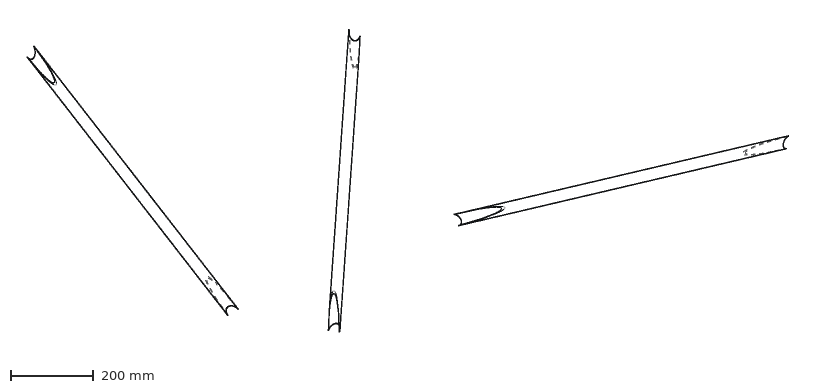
import cadquery as cq

tube_radius = 15.0
wall = 1.0
axis_direction = (100, 27.4, -26.7)
opening_lean = -0.5

left_lip = 416.0
right_lip = 424.0
mouth_tip = 303.0
left_skew = 18
right_skew = 10
left_roll = -18
right_roll = 3
cutter_size = 79

axis = cq.Vector(*axis_direction).normalized()
lean = cq.Vector(0, opening_lean, 1)
mouth_normal = lean - axis * lean.dot(axis)
tube_plane = cq.Plane(origin=(0, 0, 0), xDir=axis, normal=mouth_normal)


def prism(points):
    """Extrude an outline in the local XZ plane across the whole tube."""
    return cq.Workplane("XZ").polyline(points).close().extrude(cutter_size, both=True)


def end_cutter(lip, skew, roll):
    """Cut a left end: a skewed V across the end face, then a long slanted mouth above it."""
    end_face = prism([
        (-lip, 0),
        (-lip + cutter_size, cutter_size),
        (-lip - cutter_size, cutter_size),
        (-lip - cutter_size, -cutter_size),
        (-lip + cutter_size, -cutter_size),
    ])
    pivot = (-lip, 0, 0)
    end_face = end_face.rotate(pivot, (-lip, 0, 1), skew)
    end_face = end_face.rotate(pivot, (-lip + 8, 0, 0), roll)
    slope = tube_radius / (lip - mouth_tip)
    mouth = prism([
        (-lip - cutter_size, -slope * cutter_size),
        (-mouth_tip, tube_radius),
        (-mouth_tip, cutter_size),
        (-lip - cutter_size, cutter_size),
    ])
    return end_face.union(mouth)


stock_length = 2 * (right_lip + cutter_size / 2)
tube = (
    cq.Workplane("YZ", origin=(-stock_length / 2, 0, 0))
    .circle(tube_radius)
    .circle(tube_radius - wall)
    .extrude(stock_length)
)
tube = tube.cut(end_cutter(left_lip, left_skew, left_roll))
tube = tube.cut(end_cutter(right_lip, right_skew, right_roll).rotate((0, 0, 0), (0, 1, 0), 180))

result = cq.Workplane(tube.val().moved(tube_plane.location))